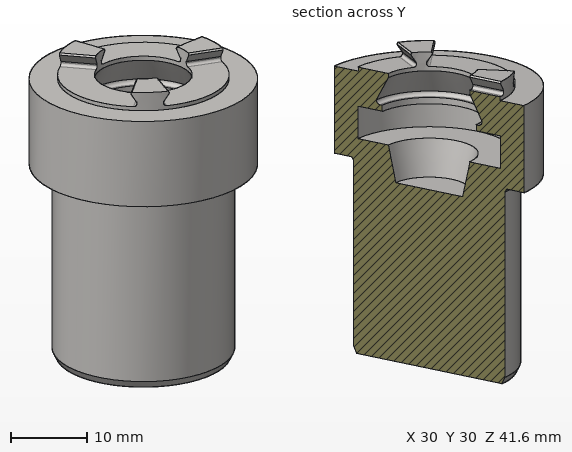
import cadquery as cq
import math

total_height = 41.6
lug_height = 2.05
ring_height = 0.55
flange_height = 12.05
ring_top = total_height - lug_height
flange_top = ring_top - ring_height
flange_bottom = flange_top - flange_height

flange_radius = 30.0 / 2
ring_radius = 22.5 / 2
shank_radius = 24.0 / 2
collar_radius = 24.6 / 2
collar_height = 0.4
shank_end_radius = 23.0 / 2
shank_chamfer_height = 1.0

mouth_radius = 12.8 / 2
mouth_depth = 0.6
groove_radius = 8.3
groove_wall_depth = 4.0
groove_floor_depth = 4.58
groove_fillet = groove_floor_depth - groove_wall_depth
lip_radius = 7.4
lip_depth = 5.45
chamber_radius = 11.25
chamber_depth = 9.85
seat_floor_radius = 10.5 / 2
seat_depth = 5.0

lug_count = 3
lug_center_angle = 193.1
lug_span_angle = 26.2
lug_undercut = 0.8
lug_neck_height = 0.6
lug_foot_fillet = 0.4
lug_bevel_width = 0.15
lug_bevel_height = 0.25
lug_cut_radius = 12.5


def make_body():
    """Stepped cylinder: chamfered shank, flared collar, flange and ring at full lug height."""
    collar_bottom = flange_bottom - collar_height
    return (
        cq.Workplane("XZ")
        .lineTo(shank_end_radius, 0)
        .lineTo(shank_radius, shank_chamfer_height)
        .lineTo(shank_radius, collar_bottom)
        .lineTo(collar_radius, flange_bottom)
        .lineTo(flange_radius, flange_bottom)
        .lineTo(flange_radius, flange_top)
        .lineTo(ring_radius, flange_top)
        .lineTo(ring_radius, total_height)
        .lineTo(0, total_height)
        .close()
        .revolve(360, (0, 0), (0, 1))
    )


def make_cavity():
    """Flared groove under the mouth, a lip, a wide chamber and a conical seat."""
    fillet_diagonal = groove_fillet * math.sqrt(0.5)
    fillet_center_radius = groove_radius - groove_fillet
    fillet_middle = (fillet_center_radius + fillet_diagonal, -groove_wall_depth - fillet_diagonal)
    return (
        cq.Workplane("XZ", origin=(0, 0, ring_top))
        .moveTo(0, lug_height)
        .lineTo(mouth_radius, lug_height)
        .lineTo(mouth_radius, -mouth_depth)
        .lineTo(groove_radius, -groove_wall_depth)
        .threePointArc(fillet_middle, (fillet_center_radius, -groove_floor_depth))
        .lineTo(lip_radius, -groove_floor_depth)
        .lineTo(lip_radius, -lip_depth)
        .lineTo(chamber_radius, -lip_depth)
        .lineTo(chamber_radius, -chamber_depth)
        .lineTo(mouth_radius, -chamber_depth)
        .lineTo(seat_floor_radius, -chamber_depth - seat_depth)
        .lineTo(0, -chamber_depth - seat_depth)
        .close()
        .revolve(360, (0, 0), (0, 1))
    )


def make_lug_flank(direction):
    """Half of a lug along +X, bounded by its flank on the +Y (1) or -Y (-1) side."""
    neck = -lug_undercut
    foot_diagonal = lug_foot_fillet * (1 - math.sqrt(0.5))
    profile = (
        cq.Workplane("YZ", origin=(0, 0, ring_top))
        .moveTo(-lug_cut_radius * direction, 0)
        .lineTo((neck + lug_foot_fillet) * direction, 0)
        .threePointArc(
            ((neck + foot_diagonal) * direction, foot_diagonal),
            (neck * direction, lug_foot_fillet),
        )
        .lineTo(neck * direction, lug_neck_height)
        .lineTo(0, lug_height - lug_bevel_height)
        .lineTo(-lug_bevel_width * direction, lug_height)
        .lineTo(-lug_cut_radius * direction, lug_height)
        .close()
    )
    flank = profile.extrude(lug_cut_radius)
    return flank.rotate((0, 0, 0), (0, 0, 1), direction * lug_span_angle / 2)


def make_lug_gaps():
    """Annulus above the ring top with the lug sectors left out."""
    gaps = (
        cq.Workplane("XY", origin=(0, 0, ring_top))
        .circle(lug_cut_radius)
        .circle(seat_floor_radius)
        .extrude(lug_height)
    )
    sector = make_lug_flank(1).intersect(make_lug_flank(-1))
    for index in range(lug_count):
        angle = lug_center_angle + index * 360 / lug_count
        gaps = gaps.cut(sector.rotate((0, 0, 0), (0, 0, 1), angle))
    return gaps


result = make_body().cut(make_lug_gaps()).cut(make_cavity())